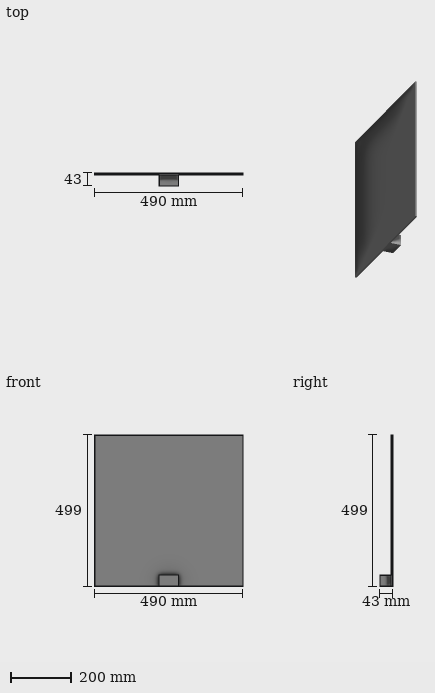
import cadquery as cq

panel_width = 490.0
panel_height = 499.0
panel_thickness = 6.0

overall_depth = 43.0
block_width = 65.0
block_depth = overall_depth - panel_thickness
block_height = 37.0


def make_panel():
    """Thin flat panel, centred on X and extending behind Y = 0."""
    return cq.Workplane("XY").box(
        panel_width, panel_thickness, panel_height, centered=(True, False, False)
    )


def make_block():
    """Plain block in front of the panel, flush with its bottom edge."""
    block = cq.Workplane("XY").box(
        block_width, block_depth, block_height, centered=(True, False, False)
    )
    return block.translate((0, -block_depth, 0))


panel = make_panel()
block = make_block()

result = cq.Compound.makeCompound([panel.val(), block.val()])